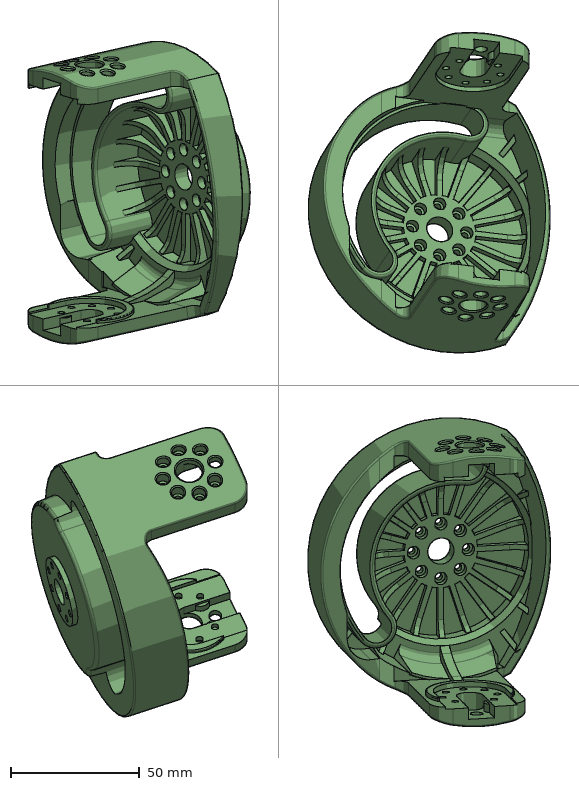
import cadquery as cq
import math

OUTER_R = 54.2
RIGHT_X = 39.8
CORNER_X = 25.4
CORNER_Z = math.sqrt(OUTER_R**2 - CORNER_X**2)
BACK_Y = 44.5
FLOOR_Y = 41.5
EDGE_ROUND = 0.7

LEFT_RIM_Y = 21.5
LEFT_RIM_R = 90.1
LEFT_RIM_TANGENT_X = -30.1
RIGHT_RIM_Y = 28.6
RIGHT_RIM_BEND_R = 347.2
RIGHT_RIM_BEND_TOP_Z = 35.8
RIGHT_RIM_BEND_LOW_Z = -15.2
RIM_CORNER_R = 3.6

ARM_HALF_WIDTH = 19.0
ARM_END_Y = -19.2
ARM_CORNER_R = 7.6
TOP_FACE_Z = 44.5
BOTTOM_FACE_Z = -45.7
SEAT_Z = 46.3
TOP_SEAT_R = 14.6
BOTTOM_SEAT_R = 14.2
COLLAR_R = 17.3
COLLAR_TOP_Z = -44.3
COLLAR_TIP_Y = -8.7
COLLAR_ROUND = 0.4
SLOT_FLOOR_Z = 50.9
HEAD_WALL_R = 3.9
HEAD_WALL_Z = 47.5

BORE_D = 10.4
BOLT_CIRCLE_R = 11.0
BOLT_COUNT = 8
BOLT_D = 2.7
HEAD_D = 4.9
HEAD_SEAT_Z = 49.0
HOLE_BEVEL = 0.5
BLIND_DEPTH = 2.2

CAVITY_R = 44.9
CAVITY_RIGHT_WALL = 4.8
CAVITY_DRAFT = 5.0
CAVITY_RIGHT_DRAFT = 14.0
GAP_LEFT_X = -23.9
GAP_BACK_Y = 27.1
TOP_FILLET_R = 5.4
POCKET_X = -43.7
POCKET_Z = -35.7
POCKET_R = 9.8
POCKET_END_X = -30.1
POCKET_END_Z = -15.2

PAN_R = 36.5
PAN_BACK_Y = 52.1
PAN_DRAFT = 4.0
PAN_EDGE_ROUND = 1.4
PAN_FLOOR_Y = 50.5
PAN_INNER_R = 34.2
PAN_MOUTH_R = 36.3
PAN_MOUTH_Y = 44.0
HUB_R = 14.6
HUB_FRONT_Y = 47.7
HUB_HEAD_DEPTH = 3.3
BOSS_D = 28.0
BOSS_BACK_Y = 54.2

OPENING_INNER_R = 33.0
OPENING_OUTER_R = 44.8
OPENING_START = 80.5
OPENING_END = 219.2
OPENING_WALL = 2.2
OPENING_WALL_FRONT_Y = 28.9
OPENING_WALL_ROUND = 1.1

RIB_COUNT = 20
RIB_STEP = 360 / RIB_COUNT
RIB_WIDTH = 2.2
RIB_ARC_R = 9.8
RIB_CURVE_R = 27.5
SHORT_RIB_CURVE_R = 21.0
GUSSET_FRONT_Y = 35.8
RIGHT_GUSSET_R = 42.3
CORNER_GUSSET_R = 47.7
LEFT_GUSSET_R = 46.7
POCKET_GUSSET_R = 52.1

WEB_WIDTH = 3.8
WEB_CURVE = ((38.4, -38.7), (30.2, -42.3), (22.6, -44.0))
WEB_END_Z = -45.1
BLOCK_R = 39.1
BLOCK_CURVE = ((41.6, 40.4), (42.6, 38.0))
BLOCK_FRONT_Y = 26.0
BLOCK_HALF_ANGLE = 27.0
BLOCK_END_DRAFT = 15.0

FAR = 130.2
OVERLAP = 1.1


def side_plane(y):
    """Plane with local axes X and Z whose extrusions run toward -Y."""
    return cq.Workplane("XZ", origin=(0, y, 0))


def disc(radius, back_y, front_y):
    return side_plane(back_y).circle(radius).extrude(back_y - front_y)


def polar(radius, angle):
    turn = math.radians(angle)
    return (radius * math.cos(turn), radius * math.sin(turn))


def box_between(x, y, z):
    """Box from three (low, high) ranges."""
    return (cq.Workplane("XY").box(x[1] - x[0], y[1] - y[0], z[1] - z[0], centered=False)
            .translate((x[0], y[0], z[0])))


def right_clearance():
    """Space in front of the right rim, with the rounded corner beside the arms."""
    def drop(z):
        return RIGHT_RIM_BEND_R - math.sqrt(RIGHT_RIM_BEND_R**2 - (RIGHT_RIM_BEND_TOP_Z - z)**2)

    bend = RIGHT_RIM_BEND_TOP_Z - RIGHT_RIM_BEND_LOW_Z
    slope = bend / math.sqrt(RIGHT_RIM_BEND_R**2 - bend**2)
    middle_z = (RIGHT_RIM_BEND_TOP_Z + RIGHT_RIM_BEND_LOW_Z) / 2
    bend_end_y = RIGHT_RIM_Y + drop(RIGHT_RIM_BEND_LOW_Z)
    low_y = bend_end_y + slope * (RIGHT_RIM_BEND_LOW_Z + OUTER_R)
    space = (cq.Workplane("YZ", origin=(ARM_HALF_WIDTH, 0, 0))
             .moveTo(-FAR, OUTER_R).lineTo(RIGHT_RIM_Y, OUTER_R).lineTo(RIGHT_RIM_Y, RIGHT_RIM_BEND_TOP_Z)
             .threePointArc((RIGHT_RIM_Y + drop(middle_z), middle_z), (bend_end_y, RIGHT_RIM_BEND_LOW_Z))
             .lineTo(low_y, -OUTER_R).lineTo(-FAR, -OUTER_R)
             .close().extrude(FAR))
    arm_side_x = ARM_HALF_WIDTH
    rim_end = cq.selectors.BoxSelector((arm_side_x - OVERLAP, 0, -FAR), (arm_side_x + OVERLAP, FAR, FAR))
    return space.faces("<X").edges(rim_end).edges("not |Y").fillet(RIM_CORNER_R)


def shell_blank():
    """Round body with its two arms, still solid between the arms."""
    body = (side_plane(BACK_Y).moveTo(CORNER_X, CORNER_Z)
            .threePointArc((-OUTER_R, 0), (CORNER_X, -CORNER_Z))
            .threePointArc((RIGHT_X, 0), (CORNER_X, CORNER_Z))
            .close().extrude(BACK_Y - ARM_END_Y))

    def rim_point(x):
        run = x + OUTER_R
        return (x, LEFT_RIM_Y + LEFT_RIM_R - math.sqrt(LEFT_RIM_R**2 - run**2))

    run = LEFT_RIM_TANGENT_X + OUTER_R
    slope = run / math.sqrt(LEFT_RIM_R**2 - run**2)
    tangent_point = rim_point(LEFT_RIM_TANGENT_X)
    left_corner = (-ARM_HALF_WIDTH, tangent_point[1] + slope * (-ARM_HALF_WIDTH - LEFT_RIM_TANGENT_X))
    plan = (cq.Workplane("XY", origin=(0, 0, -FAR / 2))
            .moveTo(-FAR, BACK_Y).lineTo(-FAR, LEFT_RIM_Y).lineTo(-OUTER_R, LEFT_RIM_Y)
            .threePointArc(rim_point(-OUTER_R + run / 2), tangent_point)
            .lineTo(*left_corner)
            .lineTo(-ARM_HALF_WIDTH, ARM_END_Y).lineTo(ARM_HALF_WIDTH, ARM_END_Y)
            .lineTo(ARM_HALF_WIDTH, BACK_Y)
            .close().extrude(FAR))
    plan = plan.edges("|Z and <Y").fillet(ARM_CORNER_R)
    plan = plan.edges(cq.selectors.NearestToPointSelector((*left_corner, 0))).fillet(RIM_CORNER_R)
    right_half = box_between((ARM_HALF_WIDTH, FAR), (-FAR, FAR), (-FAR, FAR)).cut(right_clearance())
    body = body.intersect(plan.union(right_half))
    largest = cq.selectors.AreaNthSelector(-1)
    left_of_corner = cq.selectors.BoxSelector((-FAR, -FAR, -FAR), (CORNER_X - EDGE_ROUND, FAR, FAR))
    left_edges = body.faces("%CYLINDER").faces(largest).edges(left_of_corner).vals()
    right_edges = body.faces(">X").edges("not |Y").vals()
    return body.newObject(left_edges + right_edges).fillet(EDGE_ROUND)


def cavity():
    """Drafted hollow of the shell plus the open space between the arms."""
    sagitta = RIGHT_X - CORNER_X
    right_r = (CORNER_Z**2 + sagitta**2) / (2 * sagitta)
    depth = FLOOR_Y - LEFT_RIM_Y + OVERLAP
    left_part = (side_plane(FLOOR_Y).moveTo(0, CAVITY_R)
                 .threePointArc((-CAVITY_R, 0), (0, -CAVITY_R))
                 .lineTo(OUTER_R, -CAVITY_R).lineTo(OUTER_R, CAVITY_R)
                 .close().extrude(depth, taper=-CAVITY_DRAFT))
    right_part = (side_plane(FLOOR_Y).center(RIGHT_X - right_r, 0)
                  .circle(right_r - CAVITY_RIGHT_WALL).extrude(depth, taper=-CAVITY_RIGHT_DRAFT))
    hollow = left_part.intersect(right_part)
    pocket = box_between((POCKET_X, POCKET_END_X), (0, FLOOR_Y), (POCKET_Z, POCKET_END_Z))
    pocket = pocket.edges("|Y and <X and <Z").fillet(POCKET_R)
    gap = box_between((GAP_LEFT_X, FAR), (-FAR, GAP_BACK_Y), (BOTTOM_FACE_Z, TOP_FACE_Z))
    limits = box_between((-FAR, FAR), (-FAR, FAR), (BOTTOM_FACE_Z, TOP_FACE_Z))
    return hollow.intersect(limits).union(pocket).union(gap)


def opening(wall, back_y, front_y):
    """Curved slot with round ends, grown by a wall thickness."""
    inner_r = OPENING_INNER_R - wall
    outer_r = OPENING_OUTER_R + wall
    middle = (OPENING_START + OPENING_END) / 2
    centre_r = (inner_r + outer_r) / 2
    cap_r = (outer_r - inner_r) / 2
    band = (side_plane(back_y).moveTo(*polar(inner_r, OPENING_START))
            .threePointArc(polar(inner_r, middle), polar(inner_r, OPENING_END))
            .lineTo(*polar(outer_r, OPENING_END))
            .threePointArc(polar(outer_r, middle), polar(outer_r, OPENING_START))
            .close().extrude(back_y - front_y))
    caps = (side_plane(back_y).pushPoints([polar(centre_r, a) for a in (OPENING_START, OPENING_END)])
            .circle(cap_r).extrude(back_y - front_y))
    return band.union(caps)


def pan_outside():
    pan = side_plane(BACK_Y).circle(PAN_R).extrude(BACK_Y - PAN_BACK_Y, taper=PAN_DRAFT)
    pan = pan.cut(opening(0, BOSS_BACK_Y, 0)).edges(">Y").fillet(PAN_EDGE_ROUND)
    return pan.union(disc(BOSS_D / 2, BOSS_BACK_Y, PAN_BACK_Y - OVERLAP))


def opening_wall():
    """Raised wall around the opening with a rounded front edge."""
    wall = opening(OPENING_WALL, FLOOR_Y + OVERLAP, OPENING_WALL_FRONT_Y)
    return wall.faces("<Y").edges().fillet(OPENING_WALL_ROUND)


def pan_inside():
    """Hollow of the pan, kept clear of the wall along the curved opening."""
    hollow = (cq.Workplane("XY").moveTo(0, PAN_FLOOR_Y).lineTo(PAN_INNER_R, PAN_FLOOR_Y)
              .lineTo(PAN_INNER_R, PAN_MOUTH_Y).lineTo(PAN_MOUTH_R, FLOOR_Y).lineTo(0, FLOOR_Y)
              .close().revolve(360, (0, 0, 0), (0, 1, 0)))
    return hollow.cut(opening(OPENING_WALL, BOSS_BACK_Y, 0))


def turned(solid, angle):
    """Turn a feature from the +X direction toward +Z about the Y axis."""
    return solid.rotate((0, 0, 0), (0, 1, 0), -angle)


def pan_rib(curve_r, wall_r):
    """Radial rib, level with the hub, that curves up toward the wall."""
    def arc_point(run):
        return (curve_r + run, HUB_FRONT_Y - RIB_ARC_R + math.sqrt(RIB_ARC_R**2 - run**2))

    rib_back_y = PAN_FLOOR_Y + OVERLAP / 2
    curve_run = wall_r - curve_r
    middle = arc_point(curve_run / 2)
    end = arc_point(curve_run)
    return (cq.Workplane("XY", origin=(0, 0, -RIB_WIDTH / 2))
            .moveTo(HUB_R - OVERLAP, rib_back_y).lineTo(HUB_R - OVERLAP, HUB_FRONT_Y)
            .lineTo(curve_r, HUB_FRONT_Y)
            .threePointArc(middle, end)
            .lineTo(wall_r + OVERLAP, end[1]).lineTo(wall_r + OVERLAP, rib_back_y)
            .close().extrude(RIB_WIDTH))


def pan_ribs():
    ribs = disc(HUB_R, PAN_FLOOR_Y + OVERLAP, HUB_FRONT_Y)
    for index in range(RIB_COUNT):
        angle = index * RIB_STEP
        if OPENING_START < angle < OPENING_END:
            rib = pan_rib(SHORT_RIB_CURVE_R, OPENING_INNER_R - OPENING_WALL)
        else:
            rib = pan_rib(RIB_CURVE_R, PAN_INNER_R)
        ribs = ribs.union(turned(rib, angle))
    return ribs


def gusset(start_r, end_r, angle):
    """Triangular rib between the back plate and the shell wall."""
    rib = (cq.Workplane("XY", origin=(0, 0, -RIB_WIDTH / 2))
           .moveTo(start_r, FLOOR_Y + OVERLAP).lineTo(start_r, FLOOR_Y)
           .lineTo(end_r, GUSSET_FRONT_Y).lineTo(end_r, FLOOR_Y + OVERLAP)
           .close().extrude(RIB_WIDTH))
    return turned(rib, angle)


def top_fillet():
    """Concave fillet between the back plate and the upper arm."""
    start_x, _ = polar((OPENING_INNER_R + OPENING_OUTER_R) / 2, OPENING_START)
    end_x = CORNER_X
    low_z = TOP_FACE_Z - TOP_FILLET_R
    front_y = FLOOR_Y - TOP_FILLET_R
    blend = box_between((start_x, end_x), (front_y, FLOOR_Y), (low_z, TOP_FACE_Z))
    round_cut = (cq.Workplane("YZ", origin=(start_x, 0, 0)).center(front_y, low_z)
                 .circle(TOP_FILLET_R).extrude(end_x - start_x))
    return blend.cut(round_cut)


def lower_web():
    """Centre web that runs from the pan mouth down to the collar."""
    curve_start, curve_middle, curve_end = WEB_CURVE
    root_z = BOTTOM_FACE_Z - OVERLAP
    return (cq.Workplane("YZ", origin=(-WEB_WIDTH / 2, 0, 0))
            .moveTo(FLOOR_Y, -PAN_MOUTH_R).lineTo(*curve_start)
            .threePointArc(curve_middle, curve_end)
            .lineTo(COLLAR_R - OVERLAP, WEB_END_Z).lineTo(COLLAR_R - OVERLAP, root_z)
            .lineTo(FLOOR_Y + OVERLAP, root_z).lineTo(FLOOR_Y + OVERLAP, -PAN_MOUTH_R)
            .close().extrude(WEB_WIDTH))


def lower_block():
    """Curved fillet block between the back plate and the lower arm."""
    outer_r = -BOTTOM_FACE_Z + OVERLAP
    curve_middle, curve_end = BLOCK_CURVE
    block = (cq.Workplane("XY").moveTo(BLOCK_R, FLOOR_Y)
             .threePointArc(curve_middle, curve_end).lineTo(-BOTTOM_FACE_Z, BLOCK_FRONT_Y)
             .lineTo(outer_r, BLOCK_FRONT_Y).lineTo(outer_r, FLOOR_Y + OVERLAP)
             .lineTo(BLOCK_R, FLOOR_Y + OVERLAP)
             .close().revolve(360, (0, 0, 0), (0, 1, 0)))
    sector = (side_plane(FLOOR_Y).polyline([
        (0, 0), polar(FAR, 270 - BLOCK_HALF_ANGLE), polar(FAR, 270 + BLOCK_HALF_ANGLE)])
        .close().extrude(FLOOR_Y - BLOCK_FRONT_Y, taper=BLOCK_END_DRAFT))
    return block.intersect(sector)


def flange_seat(radius, z_range):
    """U-shaped recess, round at the back and open at the arm end."""
    low, high = z_range
    round_end = cq.Workplane("XY", origin=(0, 0, low)).circle(radius).extrude(high - low)
    return round_end.union(box_between((-radius, radius), (-FAR, 0), z_range))


def collar():
    ring = (cq.Workplane("XY", origin=(0, 0, BOTTOM_FACE_Z)).circle(COLLAR_R)
            .extrude(COLLAR_TOP_Z - BOTTOM_FACE_Z).faces(">Z").edges().fillet(COLLAR_ROUND))
    return ring.intersect(box_between((-FAR, FAR), (COLLAR_TIP_Y, FAR), (-FAR, FAR)))


def bolt_points():
    return [polar(BOLT_CIRCLE_R, i * 360 / BOLT_COUNT) for i in range(BOLT_COUNT)]


def arm_slot():
    """Slot from the bore to the arm end, bulging in around the nearest screw heads."""
    depth = SLOT_FLOOR_Z - TOP_FACE_Z
    slot = box_between((-BORE_D / 2, BORE_D / 2), (-FAR, 0), (TOP_FACE_Z, SLOT_FLOOR_Z))
    reach = BOLT_CIRCLE_R * math.sqrt(0.5)
    walls = (cq.Workplane("XY", origin=(0, 0, HEAD_WALL_Z))
             .pushPoints([(-reach, -reach), (reach, -reach)]).circle(HEAD_WALL_R).extrude(depth))
    return slot.cut(walls)


def drill(x, y, diameter, bottom_z):
    return cq.Workplane("XY", origin=(x, y, bottom_z)).circle(diameter / 2).extrude(FAR)


def over_slot(x, y):
    """True for the one screw position that lies in the slot."""
    return abs(x) < BOLT_D and y < 0


def head_holes():
    """Bore and screw head holes, cut from the round outside of the upper arm."""
    cuts = drill(0, 0, BORE_D, SEAT_Z)
    for x, y in bolt_points():
        bottom_z = SEAT_Z if over_slot(x, y) else HEAD_SEAT_Z
        cuts = cuts.union(drill(x, y, HEAD_D, bottom_z))
    return cuts


def shell_with_head_holes():
    """Shell with bevelled screw head holes on the outside of both arms."""
    shell = shell_blank().cut(head_holes()).cut(head_holes().mirror("XY"))
    reach = BOLT_CIRCLE_R + HEAD_D
    rim_low_z = HEAD_SEAT_Z + OVERLAP
    for low, high in ((rim_low_z, FAR), (-FAR, -rim_low_z)):
        rims = cq.selectors.BoxSelector((-reach, -reach, low), (reach, reach, high))
        shell = shell.edges(rims).edges("not |Z").chamfer(HOLE_BEVEL)
    return shell


def arm_inside_cuts(seat_r, blind_corner):
    """Flange seat, slot, bore and screw holes of the upper arm, cut from its inside."""
    cuts = flange_seat(seat_r, (-COLLAR_TOP_Z - OVERLAP, SEAT_Z)).union(arm_slot())
    bore_depth = SEAT_Z - TOP_FACE_Z + OVERLAP
    cuts = cuts.union(cq.Workplane("XY", origin=(0, 0, TOP_FACE_Z)).circle(BORE_D / 2).extrude(bore_depth))
    for x, y in bolt_points():
        if over_slot(x, y):
            continue
        blind = blind_corner and x < -BOLT_D and y < -BOLT_D
        end_z = SEAT_Z + BLIND_DEPTH if blind else HEAD_SEAT_Z + OVERLAP
        cuts = cuts.union(cq.Workplane("XY", origin=(x, y, TOP_FACE_Z)).circle(BOLT_D / 2)
                          .extrude(end_z - TOP_FACE_Z))
    return cuts


def hub_holes():
    cuts = disc(BORE_D / 2, FAR, 0)
    points = bolt_points()
    cuts = cuts.union(side_plane(FAR).pushPoints(points).circle(BOLT_D / 2).extrude(FAR))
    head_back = HUB_FRONT_Y + HUB_HEAD_DEPTH
    return cuts.union(side_plane(head_back).pushPoints(points).circle(HEAD_D / 2).extrude(HUB_HEAD_DEPTH))


def gussets():
    """Gussets along the right wall and around the lower end of the opening."""
    ribs = gusset(BLOCK_R, LEFT_GUSSET_R, 13 * RIB_STEP)
    ribs = ribs.union(gusset(OPENING_OUTER_R, POCKET_GUSSET_R, 12 * RIB_STEP))
    for side in (1, -1):
        ribs = ribs.union(gusset(PAN_MOUTH_R, RIGHT_GUSSET_R, side * 2 * RIB_STEP))
        ribs = ribs.union(gusset(BLOCK_R, CORNER_GUSSET_R, side * 3 * RIB_STEP))
    return ribs


result = shell_with_head_holes().union(pan_outside()).cut(cavity())
result = result.union(opening_wall()).cut(pan_inside())

result = result.union(pan_ribs()).union(gussets())
result = result.union(top_fillet()).union(lower_web()).union(lower_block()).union(collar())

result = result.cut(opening(0, BOSS_BACK_Y, OPENING_WALL_FRONT_Y - OVERLAP)).cut(hub_holes())
result = result.cut(arm_inside_cuts(TOP_SEAT_R, False))
result = result.cut(arm_inside_cuts(BOTTOM_SEAT_R, True).mirror("XY"))